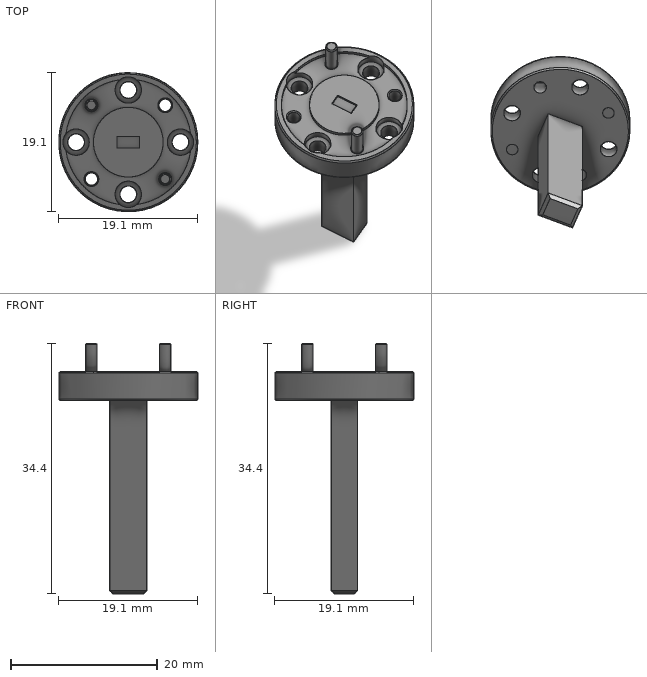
import cadquery as cq
import math

TOTAL_HEIGHT = 34.35
FLANGE_DIAMETER = 19.05
FLANGE_THICKNESS = 4.0
FLANGE_CHAMFER = 0.2
PIN_PROTRUSION = 3.88
STEM_LENGTH = TOTAL_HEIGHT - FLANGE_THICKNESS - PIN_PROTRUSION

RECESS_DIAMETER = 17.25
BOSS_DIAMETER = 9.55
RECESS_DEPTH = 0.48
RECESS_FLOOR = FLANGE_THICKNESS - RECESS_DEPTH

STEM_WIDTH = 5.1
STEM_DEPTH = 3.6
STEM_TIP_CHAMFER = 0.48

WINDOW_WIDTH = 3.05
WINDOW_HEIGHT = 1.58
WINDOW_DEPTH = 0.27

PITCH_RADIUS = 7.15
BOLT_HOLE_DIAMETER = 2.25
COUNTERBORE_DIAMETER = 3.6
COUNTERBORE_DEPTH = 1.5
BOLT_ANGLES = (0, 90, 180, 270)

ALIGNMENT_HOLE_DIAMETER = 1.7
ALIGNMENT_HOLE_CHAMFER = 0.17
ALIGNMENT_ANGLES = (45, 225)

PIN_DIAMETER = 1.58
PIN_CHAMFER = 0.17
PIN_SEAT_CHAMFER = 0.1
PIN_ANGLES = (135, 315)


def pitch_point(angle, height):
    """Point on the pitch circle at an angle in degrees."""
    turn = math.radians(angle)
    return (PITCH_RADIUS * math.cos(turn), PITCH_RADIUS * math.sin(turn), height)


def cylinder_at(angle, diameter, bottom, top):
    """Upright cylinder centred on the pitch circle."""
    return cq.Workplane(origin=pitch_point(angle, bottom)).circle(diameter / 2).extrude(top - bottom)


def make_disc():
    disc = cq.Workplane().circle(FLANGE_DIAMETER / 2).extrude(FLANGE_THICKNESS)
    disc = disc.edges().chamfer(FLANGE_CHAMFER)
    recess = (
        cq.Workplane(origin=(0, 0, RECESS_FLOOR))
        .circle(RECESS_DIAMETER / 2)
        .circle(BOSS_DIAMETER / 2)
        .extrude(RECESS_DEPTH)
    )
    return disc.cut(recess)


def make_stem():
    stem = cq.Workplane().rect(STEM_WIDTH, STEM_DEPTH).extrude(-STEM_LENGTH)
    return stem.faces("<Z").edges().chamfer(STEM_TIP_CHAMFER)


def make_window():
    return (
        cq.Workplane(origin=(0, 0, FLANGE_THICKNESS))
        .rect(WINDOW_WIDTH, WINDOW_HEIGHT)
        .extrude(-WINDOW_DEPTH)
    )


def make_bolt_hole(angle):
    """Through hole with a counterbore open to the top face."""
    hole = cylinder_at(angle, BOLT_HOLE_DIAMETER, 0, FLANGE_THICKNESS)
    counterbore_floor = FLANGE_THICKNESS - COUNTERBORE_DEPTH
    return hole.union(cylinder_at(angle, COUNTERBORE_DIAMETER, counterbore_floor, FLANGE_THICKNESS))


def make_chamfered_hole(angle, diameter, chamfer):
    """Through hole with a countersunk mouth at the recess floor."""
    hole = cylinder_at(angle, diameter, 0, RECESS_FLOOR)
    mouth = cq.Solid.makeCone(
        diameter / 2,
        diameter / 2 + chamfer,
        chamfer,
        pnt=cq.Vector(*pitch_point(angle, RECESS_FLOOR - chamfer)),
    )
    return hole.union(cq.Workplane(mouth))


def make_flange():
    """Flange disc and stem in one piece, with all openings."""
    flange = make_disc().union(make_stem()).cut(make_window())
    for angle in BOLT_ANGLES:
        flange = flange.cut(make_bolt_hole(angle))
    for angle in ALIGNMENT_ANGLES:
        flange = flange.cut(make_chamfered_hole(angle, ALIGNMENT_HOLE_DIAMETER, ALIGNMENT_HOLE_CHAMFER))
    for angle in PIN_ANGLES:
        flange = flange.cut(make_chamfered_hole(angle, PIN_DIAMETER, PIN_SEAT_CHAMFER))
    return flange


def make_pin(angle):
    """Alignment pin filling its hole from the flange underside, with a chamfered tip."""
    pin = cylinder_at(angle, PIN_DIAMETER, 0, FLANGE_THICKNESS + PIN_PROTRUSION)
    return pin.faces(">Z").edges().chamfer(PIN_CHAMFER)


flange = make_flange()
pins = [make_pin(angle) for angle in PIN_ANGLES]

result = cq.Compound.makeCompound([flange.val(), *[pin.val() for pin in pins]])